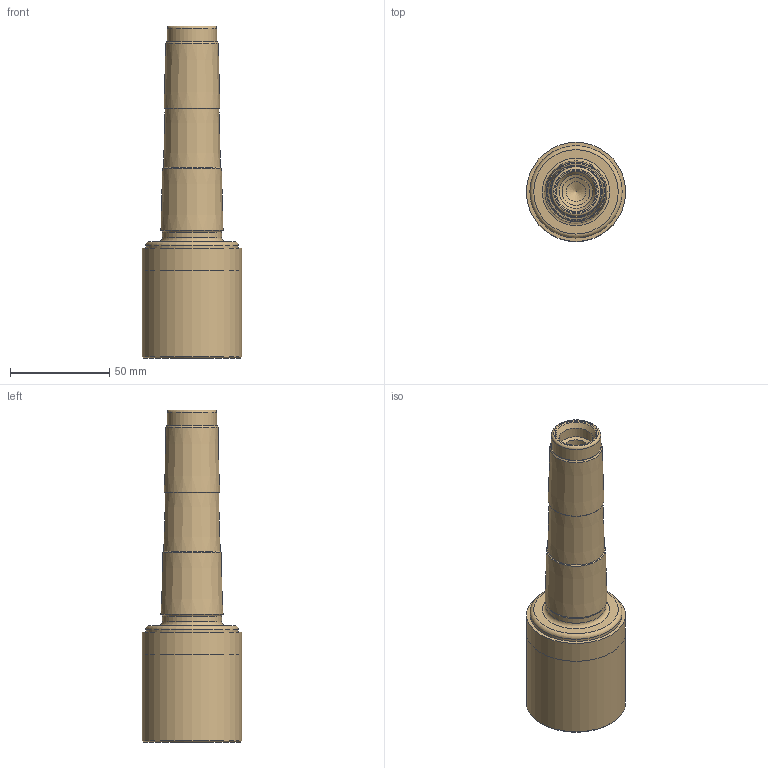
import cadquery as cq
import math

total_height = 167.2
base_height = 44.2
collar_top = 55.2
shoulder_top = 58.6
neck_top = 63.4
taper_bottom = 64.4
relief_bottom = 95.6
relief_top = 125.9
taper_top = 158.4
tip_bottom = 159.2

body_radius = 49.99 / 2
base_chamfer = 0.7
shoulder_radius = 46.5 / 2
shoulder_fillet = 2.0
neck_radius = 30.0 / 2
neck_fillet = 2.0
tip_radius = 24.9 / 2
tip_fillet = 1.25
tip_root_radius = 12.7

gauge_height = 64.7
gauge_radius = 31.267 / 2
taper_slope = 1 / (2 * 19.254)
relief_depth = 0.5
relief_chamfer = 0.4

mouth_radius = 10.6
seat_radius = 10.0
bore_radii = [17.0 / 2, 14.0 / 2, 10.0 / 2]
bore_depths = [8.2, 35.0, 45.0]
seat_half_angle = math.radians(30)
point_half_angle = math.radians(60)

arc_middle = math.sqrt(0.5)


def taper_radius(height):
    return gauge_radius - taper_slope * (height - gauge_height)


def cone_drop(outer_radius, inner_radius, half_angle):
    return (outer_radius - inner_radius) / math.tan(half_angle)


def revolve_about_z(profile):
    return profile.close().revolve(360, (0, 0, 0), (0, 1, 0))


def round_edge(profile, radius, height, fillet):
    """Convex quarter round from a wall up to a flat face at the given height."""
    centre_radius = radius - fillet
    centre_height = height - fillet
    return profile.lineTo(radius, centre_height).threePointArc(
        (centre_radius + fillet * arc_middle, centre_height + fillet * arc_middle),
        (centre_radius, height),
    )


def make_base():
    profile = (
        cq.Workplane("XZ")
        .lineTo(body_radius - base_chamfer, 0)
        .lineTo(body_radius, base_chamfer)
        .lineTo(body_radius, base_height)
        .lineTo(0, base_height)
    )
    return revolve_about_z(profile)


def make_arbor_blank():
    profile = (
        cq.Workplane("XZ")
        .moveTo(0, base_height)
        .lineTo(body_radius, base_height)
        .lineTo(body_radius, collar_top)
        .lineTo(shoulder_radius, collar_top)
    )
    profile = round_edge(profile, shoulder_radius, shoulder_top, shoulder_fillet)

    fillet_radius = neck_radius + neck_fillet
    fillet_height = shoulder_top + neck_fillet
    profile = profile.lineTo(fillet_radius, shoulder_top).threePointArc(
        (fillet_radius - neck_fillet * arc_middle, fillet_height - neck_fillet * arc_middle),
        (neck_radius, fillet_height),
    )

    relief_start = relief_bottom + relief_chamfer
    relief_end = relief_top - relief_chamfer
    profile = (
        profile.lineTo(neck_radius, neck_top)
        .lineTo(taper_radius(taper_bottom), taper_bottom)
        .lineTo(taper_radius(relief_bottom), relief_bottom)
        .lineTo(taper_radius(relief_start) - relief_depth, relief_start)
        .lineTo(taper_radius(relief_end) - relief_depth, relief_end)
        .lineTo(taper_radius(relief_top), relief_top)
        .lineTo(taper_radius(taper_top), taper_top)
        .lineTo(tip_root_radius, tip_bottom)
        .lineTo(tip_radius, tip_bottom)
    )
    profile = round_edge(profile, tip_radius, total_height, tip_fillet)
    return revolve_about_z(profile.lineTo(0, total_height))


def make_centre_hole():
    seat_depth = cone_drop(mouth_radius, seat_radius, point_half_angle)
    wall_start = seat_depth + cone_drop(seat_radius, bore_radii[0], seat_half_angle)
    profile = (
        cq.Workplane("XZ")
        .moveTo(0, total_height)
        .lineTo(mouth_radius, total_height)
        .lineTo(seat_radius, total_height - seat_depth)
        .lineTo(bore_radii[0], total_height - wall_start)
    )
    next_radii = bore_radii[1:] + [0]
    for radius, next_radius, depth in zip(bore_radii, next_radii, bore_depths):
        point_depth = depth + cone_drop(radius, next_radius, point_half_angle)
        profile = profile.lineTo(radius, total_height - depth)
        profile = profile.lineTo(next_radius, total_height - point_depth)
    return revolve_about_z(profile)


base = make_base()
arbor = make_arbor_blank().cut(make_centre_hole())

result = cq.Compound.makeCompound([base.val(), arbor.val()])